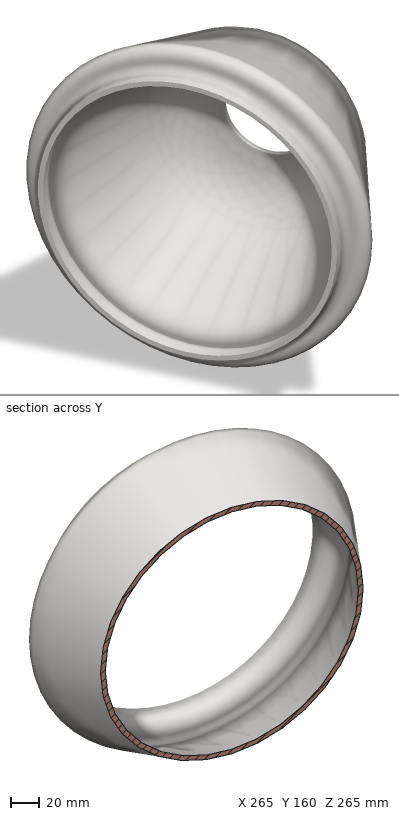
import cadquery as cq
import math

outer_radius = 132.5
height = 160.0
wall = 4.0

spigot_radius = 115.0
spigot_length = 8.0
neck_fillet = 7.0
rim_radius = 8.0

dome_radius = 49.5
dome_center_radius = 39.8
hole_radius = 35.0

rim_center = (outer_radius - rim_radius, spigot_length + neck_fillet + rim_radius)
dome_center = (dome_center_radius, height - dome_radius)
neck_center = (spigot_radius + neck_fillet, spigot_length)

inner_dome_radius = dome_radius - wall
inner_rim_radius = rim_radius - wall
inner_neck_radius = neck_fillet + wall


def arc_point(center, radius, angle):
    """Point on a circle in the profile plane, with the angle in radians from the radial direction."""
    return (center[0] + radius * math.cos(angle), center[1] + radius * math.sin(angle))


def add_arc(sketch, center, radius, start_angle, end_angle):
    """Extend the profile along a circle from the start angle to the end angle."""
    middle_angle = (start_angle + end_angle) / 2
    return sketch.threePointArc(
        arc_point(center, radius, middle_angle),
        arc_point(center, radius, end_angle),
    )


def cone_normal_angle():
    """Normal direction of the cone line that is tangent to the rim and dome circles."""
    run = dome_center[0] - rim_center[0]
    rise = dome_center[1] - rim_center[1]
    return math.atan2(rise, run) - math.acos((rim_radius - dome_radius) / math.hypot(run, rise))


def make_profile():
    """Half section of the shell: X is the radius and Y runs along the axis."""
    cone_angle = cone_normal_angle()
    up = math.pi / 2
    down = -math.pi / 2
    inward = math.pi

    profile = cq.Workplane("XY").moveTo(spigot_radius - wall, 0).lineTo(spigot_radius, 0)
    profile = profile.lineTo(spigot_radius, spigot_length)
    profile = add_arc(profile, neck_center, neck_fillet, inward, up)
    profile = profile.lineTo(*arc_point(rim_center, rim_radius, down))
    profile = add_arc(profile, rim_center, rim_radius, down, 0)
    profile = add_arc(profile, rim_center, rim_radius, 0, cone_angle)
    profile = profile.lineTo(*arc_point(dome_center, dome_radius, cone_angle))
    profile = add_arc(profile, dome_center, dome_radius, cone_angle, up)
    profile = profile.lineTo(hole_radius, height).lineTo(hole_radius, height - wall)

    profile = profile.lineTo(*arc_point(dome_center, inner_dome_radius, up))
    profile = add_arc(profile, dome_center, inner_dome_radius, up, cone_angle)
    profile = profile.lineTo(*arc_point(rim_center, inner_rim_radius, cone_angle))
    profile = add_arc(profile, rim_center, inner_rim_radius, cone_angle, 0)
    profile = add_arc(profile, rim_center, inner_rim_radius, 0, down)
    profile = profile.lineTo(*arc_point(neck_center, inner_neck_radius, up))
    profile = add_arc(profile, neck_center, inner_neck_radius, up, inward)
    return profile.close()


result = make_profile().revolve(360, (0, 0, 0), (0, 1, 0))